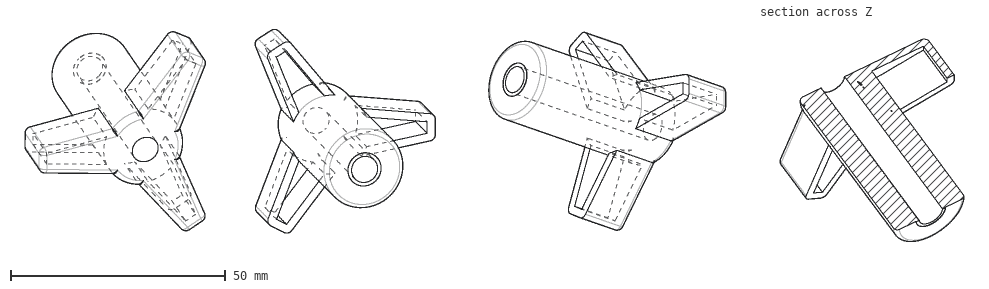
import cadquery as cq
import math

hub_diameter = 19.0
hub_length = 44.47
hub_end_fillet = 1.0
bore_diameter = 6.3

bushing_diameter = 8.0
bushing_height = 0.1

arm_count = 3
arm_reach = 25.4
arm_depth = 12.75
arm_tip_half_width = 3.1
arm_taper = 8.5
arm_corner_radius = 1.5
arm_wall = 2.0
grip_fillet = 1.5

tilt = 0.4

arm_start = hub_length - arm_depth
first_arm_angle = 180


def x_cylinder(diameter, start, length):
    """Cylinder along X starting at the given X."""
    return cq.Workplane("YZ", origin=(start, 0, 0)).circle(diameter / 2).extrude(length)


def arm_prism(reach, tip_half_width, depth):
    """Tapered prism from the hub axis along +Y, extruded along X."""
    root_half_width = tip_half_width + reach * math.tan(math.radians(arm_taper))
    outline = [
        (0, -root_half_width),
        (reach, -tip_half_width),
        (reach, tip_half_width),
        (0, root_half_width),
    ]
    return cq.Workplane("YZ", origin=(arm_start, 0, 0)).polyline(outline).close().extrude(depth)


def turned_to_arms(shape):
    """One copy of the shape at each arm position around the hub axis."""
    step = 360 / arm_count
    angles = [first_arm_angle + i * step for i in range(arm_count)]
    return [shape.rotate((0, 0, 0), (1, 0, 0), angle) for angle in angles]


def solid_arm():
    arm = arm_prism(arm_reach, arm_tip_half_width, arm_depth)
    return arm.edges("|X and >Y").fillet(arm_corner_radius)


def arm_pocket():
    """Hollow leaving an even wall at the sides, tip and closed end of an arm."""
    taper = math.radians(arm_taper)
    tip_half_width = arm_tip_half_width + arm_wall * math.tan(taper) - arm_wall / math.cos(taper)
    pocket = arm_prism(arm_reach - arm_wall, tip_half_width, arm_depth - arm_wall)
    return pocket.cut(x_cylinder(hub_diameter, 0, hub_length))


knob = x_cylinder(hub_diameter, 0, hub_length)
knob = knob.faces("<X").edges().fillet(hub_end_fillet)
for arm in turned_to_arms(solid_arm()):
    knob = knob.union(arm)
knob = knob.faces(">X").edges().fillet(grip_fillet)

for pocket in turned_to_arms(arm_pocket()):
    knob = knob.cut(pocket)

knob = knob.union(x_cylinder(bushing_diameter, -bushing_height, bushing_height))
knob = knob.cut(x_cylinder(bore_diameter, -bushing_height, hub_length + bushing_height))

result = knob.clean().rotate((0, 0, 0), (0, 1, 0), tilt)